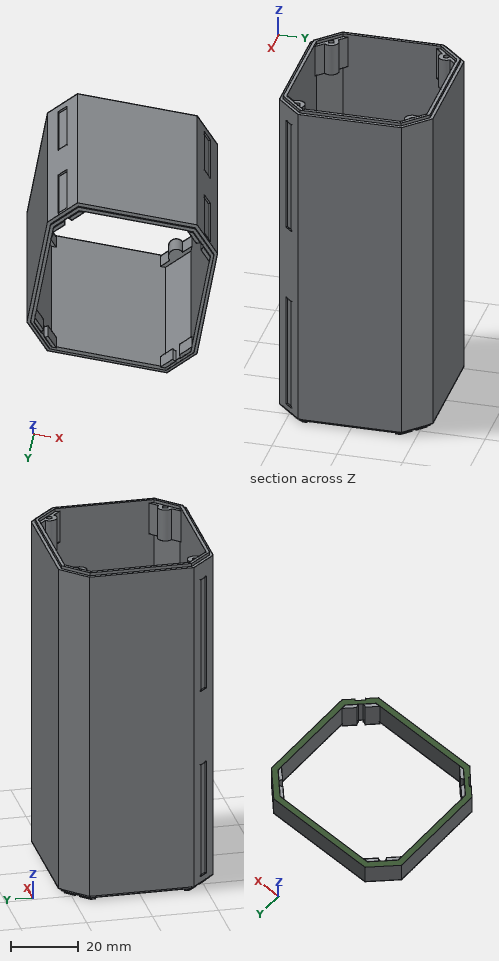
import cadquery as cq
import math

WIDTH = 51.3
DEPTH = 47.0
HEIGHT = 106.0
CORNER_ANGLE = 45
CORNER_CUT = 7.6

WALL = 2.0
LIP_INSET = WALL / 2
LIP_HEIGHT = 1.0
FOOT_HEIGHT = 1.0

PAD_THICKNESS = 1.1
PAD_LENGTH = 10.0
SCREW_X = 19.7
SCREW_Y = 17.6
BOSS_RADIUS = 2.3
PILOT_DIAMETER = 1.7
CLEARANCE_DIAMETER = 2.3
PILOT_DEPTH = 9.0

SLOT_WIDTH = 3.1
SLOT_LENGTH = 36.0
SLOT_DEPTH = 0.5
SLOT_CENTERS = (21.8, 81.6)

LIP_BOTTOM = FOOT_HEIGHT
BODY_BOTTOM = LIP_BOTTOM + LIP_HEIGHT
BODY_TOP = HEIGHT - LIP_HEIGHT
PAD_TOP = HEIGHT - FOOT_HEIGHT


def octagon(inset, bottom, top, extra_corner=0.0):
    """Prism inset from the outer outline; extra_corner moves only the corner faces further in."""
    width = WIDTH - 2 * inset
    depth = DEPTH - 2 * inset
    leg = CORNER_CUT - inset * (2 - math.sqrt(2)) + extra_corner * math.sqrt(2)
    prism = cq.Workplane("XY").workplane(offset=bottom).rect(width, depth).extrude(top - bottom)
    return prism.edges("|Z").chamfer(leg)


def screw_cylinders(diameter, bottom, top):
    """One upright cylinder on each of the four screw axes."""
    return (
        cq.Workplane("XY")
        .workplane(offset=bottom)
        .rect(2 * SCREW_X, 2 * SCREW_Y, forConstruction=True)
        .vertices()
        .circle(diameter / 2)
        .extrude(top - bottom)
    )


def tube():
    """Outer walls with a reduced lip at each end."""
    body = octagon(0, BODY_BOTTOM, BODY_TOP)
    lips = octagon(LIP_INSET, LIP_BOTTOM, HEIGHT)
    return body.union(lips).cut(octagon(WALL, LIP_BOTTOM, HEIGHT))


def corner_pads(bottom, top):
    """Flat pads filling the four inner corners."""
    return octagon(WALL, bottom, top).cut(octagon(WALL, bottom, top, PAD_THICKNESS))


def upper_bosses():
    """Pads with round bosses and blind pilot holes, set below the upper rim."""
    bottom = PAD_TOP - PAD_LENGTH
    posts = screw_cylinders(2 * BOSS_RADIUS, bottom, PAD_TOP).intersect(octagon(WALL, bottom, PAD_TOP))
    pilots = screw_cylinders(PILOT_DIAMETER, PAD_TOP - PILOT_DEPTH, PAD_TOP)
    return corner_pads(bottom, PAD_TOP).union(posts).cut(pilots)


def lower_feet():
    """Pads standing out below the lower lip, parted by the screw clearance."""
    return corner_pads(0, PAD_LENGTH).cut(screw_cylinders(CLEARANCE_DIAMETER, 0, PAD_LENGTH))


def slots():
    """Recesses in the corner faces on the -Y side."""
    face_x = (WIDTH - CORNER_CUT) / 2
    face_y = -(DEPTH - CORNER_CUT) / 2
    cutters = cq.Workplane("XY")
    for side in (-1, 1):
        for center_z in SLOT_CENTERS:
            cutter = (
                cq.Workplane("XY")
                .box(2 * SLOT_DEPTH, SLOT_WIDTH, SLOT_LENGTH)
                .rotate((0, 0, 0), (0, 0, 1), -CORNER_ANGLE * side)
                .translate((side * face_x, face_y, center_z))
            )
            cutters = cutters.add(cutter)
    return cutters.combine()


result = tube().union(upper_bosses()).union(lower_feet()).cut(slots())